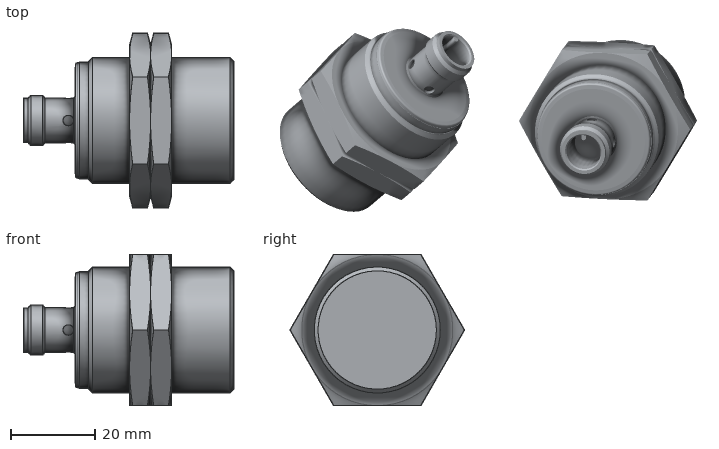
import cadquery as cq
import math


length = 50.0
barrel_radius = 30.0 / 2
barrel_chamfer = 0.92
barrel_start = 15.45

cap_radius = 27.8 / 2
cap_lip_base_radius = 27.66 / 2
cap_lip_radius = 27.5 / 2
cap_rim_rounding = 0.45
cap_face_radius = 25.0 / 2
cap_front = 12.25
cap_rim_setback = 0.07
cap_step_start = 13.23
rim_front = cap_front + cap_rim_setback
rim_arc_offset = cap_rim_rounding * (1 - math.sqrt(0.5))

nose_radius = 10.6 / 2
collar_radius = 12.0 / 2
neck_radius = 10.8 / 2
neck_flare = 0.35
collar_front = 1.0
collar_rear = 5.05
collar_front_chamfer = collar_radius - nose_radius
collar_rear_chamfer = collar_radius - neck_radius

socket_radius = 8.3 / 2
socket_floor_radius = 7.7 / 2
socket_mouth_chamfer = 0.3
socket_depth = 9.0

key_width = 1.1
key_tip_height = 2.9
key_front = socket_mouth_chamfer

dimple_diameter = 2.5
dimple_position = 10.6
dimple_floor_radius = 4.6
dimple_count = 4

nut_width_across_flats = 36.0
nut_thickness = 5.0
nut_chamfer_angle = 15.0
nut_start = 25.2
nut_count = 2


def x_cylinder(radius, start, end):
    return cq.Workplane("YZ").workplane(offset=start).circle(radius).extrude(end - start)


def revolve_about_x(profile):
    return profile.close().revolve(360, (0, 0, 0), (1, 0, 0))


def make_outer_form():
    profile = (
        cq.Workplane("XY")
        .moveTo(0, 0)
        .lineTo(0, nose_radius)
        .lineTo(collar_front, nose_radius)
        .lineTo(collar_front + collar_front_chamfer, collar_radius)
        .lineTo(collar_rear - collar_rear_chamfer, collar_radius)
        .lineTo(collar_rear, neck_radius)
        .lineTo(cap_front - neck_flare, neck_radius)
        .lineTo(cap_front, neck_radius + neck_flare)
        .lineTo(cap_front, cap_face_radius)
        .lineTo(rim_front, cap_lip_radius - cap_rim_rounding)
        .threePointArc(
            (rim_front + rim_arc_offset, cap_lip_radius - rim_arc_offset),
            (rim_front + cap_rim_rounding, cap_lip_radius),
        )
        .lineTo(cap_step_start, cap_lip_base_radius)
        .lineTo(cap_step_start, cap_radius)
        .lineTo(barrel_start, cap_radius)
        .lineTo(barrel_start, barrel_radius - barrel_chamfer)
        .lineTo(barrel_start + barrel_chamfer, barrel_radius)
        .lineTo(length - barrel_chamfer, barrel_radius)
        .lineTo(length, barrel_radius - barrel_chamfer)
        .lineTo(length, 0)
    )
    return revolve_about_x(profile)


def make_socket():
    profile = (
        cq.Workplane("XY")
        .moveTo(0, 0)
        .lineTo(0, socket_radius + socket_mouth_chamfer)
        .lineTo(socket_mouth_chamfer, socket_radius)
        .lineTo(socket_depth, socket_floor_radius)
        .lineTo(socket_depth, 0)
    )
    return revolve_about_x(profile)


def make_key():
    tip_radius = key_width / 2
    tip_center = key_tip_height + tip_radius
    root = (socket_radius + nose_radius) / 2
    return (
        cq.Workplane("YZ")
        .workplane(offset=key_front)
        .moveTo(-tip_radius, root)
        .lineTo(-tip_radius, tip_center)
        .threePointArc((0, key_tip_height), (tip_radius, tip_center))
        .lineTo(tip_radius, root)
        .close()
        .extrude(socket_depth - key_front)
    )


def make_dimple(angle):
    drill = (
        cq.Workplane("XY")
        .center(dimple_position, 0)
        .circle(dimple_diameter / 2)
        .extrude(collar_radius)
    )
    core = x_cylinder(
        dimple_floor_radius,
        dimple_position - dimple_diameter,
        dimple_position + dimple_diameter,
    )
    return drill.cut(core).rotate((0, 0, 0), (1, 0, 0), angle)


def make_sensor():
    sensor = make_outer_form().cut(make_socket()).union(make_key())
    for index in range(dimple_count):
        sensor = sensor.cut(make_dimple(index * 360 / dimple_count))
    return sensor.solids()


def make_nut(start):
    end = start + nut_thickness
    flat_radius = nut_width_across_flats / 2
    corner_radius = flat_radius / math.cos(math.radians(30))
    corner_setback = (corner_radius - flat_radius) * math.tan(math.radians(nut_chamfer_angle))
    hexagon = (
        cq.Workplane("YZ")
        .workplane(offset=start)
        .polygon(6, 2 * corner_radius)
        .extrude(nut_thickness)
    )
    chamfer_form = revolve_about_x(
        cq.Workplane("XY")
        .moveTo(start, 0)
        .lineTo(start, flat_radius)
        .lineTo(start + corner_setback, corner_radius)
        .lineTo(end - corner_setback, corner_radius)
        .lineTo(end, flat_radius)
        .lineTo(end, 0)
    )
    return hexagon.intersect(chamfer_form).cut(x_cylinder(barrel_radius, start, end))


sensor = make_sensor()
nuts = [make_nut(nut_start + index * nut_thickness).solids().val() for index in range(nut_count)]

result = cq.Compound.makeCompound([sensor.val(), *nuts])